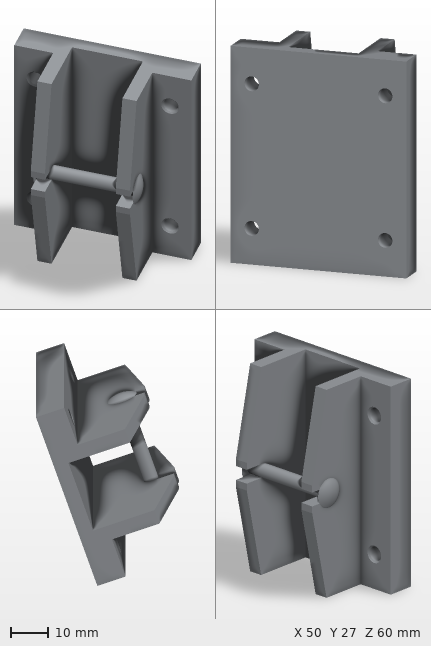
import math

import cadquery as cq

plate_width = 50.0
plate_height = 60.0
plate_thickness = 8.0

channel_width = 20.0
wall_thickness = 4.0
channel_floor_thickness = 4.0
wall_reach = 27.0
wall_end_reach = 21.4
tip_height = 8.0
wall_span = channel_width + 2 * wall_thickness

hole_diameter = 4.1
hole_mouth_diameter = 5.0
hole_spacing_x = 38.0
hole_spacing_z = 40.0
countersink_angle = 90.0

pin_diameter = 4.0
pin_reach = 20.5
head_diameter = 8.4
head_height = 1.2


def make_plate():
    plate = cq.Workplane("XY").box(
        plate_width, plate_thickness, plate_height, centered=(True, False, True)
    ).translate((0, -plate_thickness, 0))
    return (
        plate.faces("<Y").workplane(origin=(0, -plate_thickness, 0))
        .rarray(hole_spacing_x, hole_spacing_z, 2, 2)
        .cskHole(hole_diameter, hole_mouth_diameter, countersink_angle)
    )


def make_wall_block():
    """Tapered block across both walls, before the channel is cut."""
    half_height = plate_height / 2
    half_tip = tip_height / 2
    return (
        cq.Workplane("YZ")
        .moveTo(-channel_floor_thickness, -half_height)
        .lineTo(-wall_end_reach, -half_height)
        .lineTo(-wall_reach, -half_tip)
        .lineTo(-wall_reach, half_tip)
        .lineTo(-wall_end_reach, half_height)
        .lineTo(-channel_floor_thickness, half_height)
        .close()
        .extrude(wall_span / 2, both=True)
    )


def make_channel():
    depth = wall_reach - channel_floor_thickness
    return cq.Workplane("XY").box(
        channel_width, depth, plate_height, centered=(True, False, True)
    ).translate((0, -wall_reach, 0))


def make_pin_slot():
    """Slot open at the wall tips, with a round end about the pin axis."""
    radius = pin_diameter / 2
    return (
        cq.Workplane("YZ")
        .moveTo(-wall_reach, -radius)
        .lineTo(-pin_reach, -radius)
        .threePointArc((-pin_reach + radius, 0), (-pin_reach, radius))
        .lineTo(-wall_reach, radius)
        .close()
        .extrude(wall_span / 2, both=True)
    )


def make_bracket():
    return make_plate().union(make_wall_block()).cut(make_channel()).cut(make_pin_slot())


def make_pin():
    """Half profile of rod and both domed heads, revolved about the pin axis."""
    half_span = wall_span / 2
    head_radius = head_diameter / 2
    rod_radius = pin_diameter / 2
    dome_radius = (head_radius**2 + head_height**2) / (2 * head_height)
    dome_center = half_span + head_height - dome_radius
    mid_radius = head_radius / 2
    mid_x = dome_center + math.sqrt(dome_radius**2 - mid_radius**2)
    end_x = half_span + head_height
    return (
        cq.Workplane("XY")
        .moveTo(-end_x, 0)
        .threePointArc((-mid_x, mid_radius), (-half_span, head_radius))
        .lineTo(-half_span, rod_radius)
        .lineTo(half_span, rod_radius)
        .lineTo(half_span, head_radius)
        .threePointArc((mid_x, mid_radius), (end_x, 0))
        .close()
        .revolve(360, (0, 0, 0), (1, 0, 0))
        .translate((0, -pin_reach, 0))
    )


bracket = make_bracket()
pin = make_pin()

result = cq.Compound.makeCompound([bracket.val(), pin.val()])